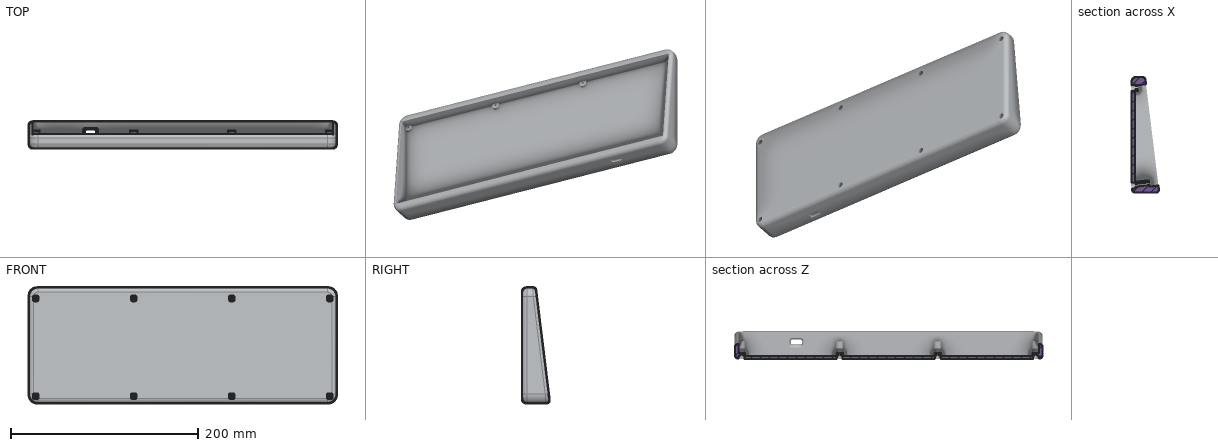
import cadquery as cq
import math

length = 329.5
height = 124.2
depth = 29.5
slope_angle = 7.0

corner_radius = 10.0
front_fillet = 5.3
rim_fillet = 4.0

side_wall = 4.3
end_wall = 8.2
floor_thickness = 4.0

boss_columns = 4
boss_diameter = 8.0
boss_side_offset = 7.5
boss_bottom_offset = 11.2
boss_top_offset = 10.2
boss_recess = 9.5
screw_diameter = 2.4
head_diameter = 6.0
head_depth = 4.0

port_x = -98.5
port_width = 12.0
port_height = 6.0
port_corner_radius = 1.3
port_flare = 2.0
port_recess = 12.0

slope = math.radians(slope_angle)
bottom_depth = depth + rim_fillet * (math.tan(slope) + 1 / math.cos(slope) - 1)
top_depth = bottom_depth - height * math.tan(slope)
slope_length = height / math.cos(slope)
clearance = 2 * depth

slope_plane = cq.Plane(
    origin=(0, bottom_depth, 0),
    xDir=(-1, 0, 0),
    normal=(0, math.cos(slope), math.sin(slope)),
)


def half_space(front_y):
    """Block holding everything behind the plane y = front_y."""
    block = cq.Workplane("XY").box(2 * length, clearance, 2 * height, centered=(True, False, True))
    return block.translate((0, front_y, height / 2))


def make_outer():
    profile = [(0, 0), (bottom_depth, 0), (top_depth, height), (0, height)]
    wedge = cq.Workplane("YZ").polyline(profile).close().extrude(length / 2, both=True)
    wedge = wedge.edges("|Y").fillet(corner_radius)
    wedge = wedge.faces("<Y").edges().fillet(front_fillet)
    sloped_face = cq.selectors.DirectionMinMaxSelector(slope_plane.zDir, True)
    return wedge.faces(sloped_face).edges().fillet(rim_fillet)


def make_cavity():
    """Prism square to the sloped face, stopped at the flat floor."""
    prism = (
        cq.Workplane(slope_plane)
        .center(0, slope_length / 2)
        .rect(length - 2 * side_wall, slope_length - 2 * end_wall)
        .extrude(clearance, both=True)
    )
    return prism.intersect(half_space(floor_thickness))


def boss_positions():
    pitch = (length - 2 * boss_side_offset) / (boss_columns - 1)
    columns = [-length / 2 + boss_side_offset + i * pitch for i in range(boss_columns)]
    rows = (boss_bottom_offset, slope_length - boss_top_offset)
    return [(x, y) for x in columns for y in rows]


def boss_cylinders(diameter):
    """Cylinders on every boss axis, from the boss ends out past the front face."""
    return (
        cq.Workplane(slope_plane)
        .workplane(offset=-boss_recess)
        .pushPoints(boss_positions())
        .circle(diameter / 2)
        .extrude(-clearance)
    )


def make_bosses():
    return boss_cylinders(boss_diameter).intersect(half_space(floor_thickness / 2))


def make_screw_holes():
    heads = boss_cylinders(head_diameter).cut(half_space(head_depth))
    return boss_cylinders(screw_diameter).union(heads)


def port_outline(plane, margin):
    width = port_width + 2 * margin
    breadth = port_height + 2 * margin
    outline = cq.Sketch().rect(width, breadth).vertices().fillet(port_corner_radius + margin)
    return cq.Workplane(plane).placeSketch(outline)


def make_port():
    """Rounded opening down the slope with a 45 degree flare at the inner wall face."""
    centre = slope_plane.toWorldCoords((-port_x, end_wall, -port_recess))
    mouth = cq.Plane(origin=centre, xDir=(1, 0, 0), normal=-slope_plane.yDir)
    passage = port_outline(mouth, 0).extrude(2 * end_wall)
    flare = port_outline(mouth, port_flare).extrude(port_flare, taper=45)
    return passage.union(flare)


result = (
    make_outer()
    .cut(make_cavity())
    .union(make_bosses())
    .cut(make_screw_holes())
    .cut(make_port())
)